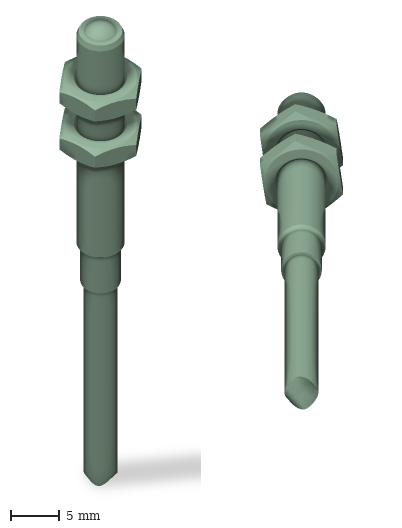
import cadquery as cq
import math

BARREL_DIAMETER = 5.0
BARREL_LENGTH = 30.0
TIP_CHAMFER_RADIAL = 0.25
TIP_CHAMFER_HEIGHT = 0.6

DOME_DIAMETER = 3.3
DOME_HEIGHT = 0.67

COLLAR_DIAMETER = 4.2
COLLAR_LENGTH = 5.0

CABLE_DIAMETER = 3.5
CABLE_LENGTH = 27.5

CUT_LEFT_SHOULDER_X = -1.3
CUT_LEFT_SHOULDER_HEIGHT = 0.65
CUT_CREST_X = -0.6
CUT_CREST_HEIGHT = 0.8
CUT_TROUGH_X = 1.0
CUT_TROUGH_HEIGHT = 0.13
CUT_RIGHT_SHOULDER_X = 1.5
CUT_RIGHT_SHOULDER_HEIGHT = 0.55
CUT_EDGE_HEIGHT = 1.6
CUT_MARGIN = 1.0

NUT_WIDTH_ACROSS_FLATS = 8.0
NUT_THICKNESS = 2.5
NUT_FACE_DIAMETER = 7.6
NUT_CHAMFER_ANGLE = 30.0
NUT_BORE_CHAMFER = 0.25
NUT_COUNT = 2
FIRST_NUT_TOP = -6.5
NUT_PITCH = 6.5

barrel_radius = BARREL_DIAMETER / 2
dome_radius = DOME_DIAMETER / 2
cable_radius = CABLE_DIAMETER / 2
collar_radius = COLLAR_DIAMETER / 2
tail_chamfer = barrel_radius - collar_radius
barrel_end = -BARREL_LENGTH
collar_end = barrel_end - COLLAR_LENGTH
cable_end = collar_end - CABLE_LENGTH
nut_corner_diameter = NUT_WIDTH_ACROSS_FLATS / math.cos(math.radians(30))


def make_cable_cutter():
    """Block below the wavy cut, which runs straight through along Y."""
    bottom = cable_end - CUT_MARGIN
    outer_x = cable_radius + CUT_MARGIN
    return (
        cq.Workplane("XZ")
        .moveTo(-outer_x, cable_end)
        .lineTo(-cable_radius, cable_end)
        .spline(
            [
                (CUT_LEFT_SHOULDER_X, cable_end + CUT_LEFT_SHOULDER_HEIGHT),
                (CUT_CREST_X, cable_end + CUT_CREST_HEIGHT),
                (CUT_TROUGH_X, cable_end + CUT_TROUGH_HEIGHT),
                (CUT_RIGHT_SHOULDER_X, cable_end + CUT_RIGHT_SHOULDER_HEIGHT),
                (cable_radius, cable_end + CUT_EDGE_HEIGHT),
            ],
            includeCurrent=True,
        )
        .lineTo(outer_x, cable_end + CUT_EDGE_HEIGHT)
        .lineTo(outer_x, bottom)
        .lineTo(-outer_x, bottom)
        .close()
        .extrude(outer_x, both=True)
    )


def make_sensor():
    """Barrel, dome, collar and cable turned as one profile, then the cable is cut."""
    dome_sphere_radius = (dome_radius**2 + DOME_HEIGHT**2) / (2 * DOME_HEIGHT)
    dome_mid_x = dome_radius / 2
    dome_mid_z = DOME_HEIGHT - dome_sphere_radius + math.sqrt(dome_sphere_radius**2 - dome_mid_x**2)
    turned = (
        cq.Workplane("XZ")
        .moveTo(0, DOME_HEIGHT)
        .threePointArc((dome_mid_x, dome_mid_z), (dome_radius, 0))
        .lineTo(barrel_radius - TIP_CHAMFER_RADIAL, 0)
        .lineTo(barrel_radius, -TIP_CHAMFER_HEIGHT)
        .lineTo(barrel_radius, barrel_end + tail_chamfer)
        .lineTo(collar_radius, barrel_end)
        .lineTo(collar_radius, collar_end)
        .lineTo(cable_radius, collar_end)
        .lineTo(cable_radius, cable_end)
        .lineTo(0, cable_end)
        .close()
        .revolve(360, (0, 0, 0), (0, 1, 0))
    )
    return turned.cut(make_cable_cutter())


def make_nut_envelope():
    """Turned blank whose conical ends round off the hexagon corners."""
    face_radius = NUT_FACE_DIAMETER / 2
    corner_radius = nut_corner_diameter / 2
    slope_height = (corner_radius - face_radius) * math.tan(math.radians(NUT_CHAMFER_ANGLE))
    return (
        cq.Workplane("XZ")
        .moveTo(0, 0)
        .lineTo(face_radius, 0)
        .lineTo(corner_radius, slope_height)
        .lineTo(corner_radius, NUT_THICKNESS - slope_height)
        .lineTo(face_radius, NUT_THICKNESS)
        .lineTo(0, NUT_THICKNESS)
        .close()
        .revolve(360, (0, 0, 0), (0, 1, 0))
    )


def make_nut_bore():
    """Through bore fitting the barrel, with a 45 degree chamfer at both mouths."""
    mouth_radius = barrel_radius + NUT_BORE_CHAMFER
    return (
        cq.Workplane("XZ")
        .moveTo(0, 0)
        .lineTo(mouth_radius, 0)
        .lineTo(barrel_radius, NUT_BORE_CHAMFER)
        .lineTo(barrel_radius, NUT_THICKNESS - NUT_BORE_CHAMFER)
        .lineTo(mouth_radius, NUT_THICKNESS)
        .lineTo(0, NUT_THICKNESS)
        .close()
        .revolve(360, (0, 0, 0), (0, 1, 0))
    )


def make_nut(top_z):
    """Hexagon nut with corners on the X axis and its upper face at top_z."""
    hexagon = cq.Workplane("XY").polygon(6, nut_corner_diameter).extrude(NUT_THICKNESS)
    nut = hexagon.intersect(make_nut_envelope()).cut(make_nut_bore())
    return nut.translate((0, 0, top_z - NUT_THICKNESS))


sensor = make_sensor()
nuts = [make_nut(FIRST_NUT_TOP - i * NUT_PITCH) for i in range(NUT_COUNT)]

result = cq.Compound.makeCompound([sensor.val(), *[nut.val() for nut in nuts]])